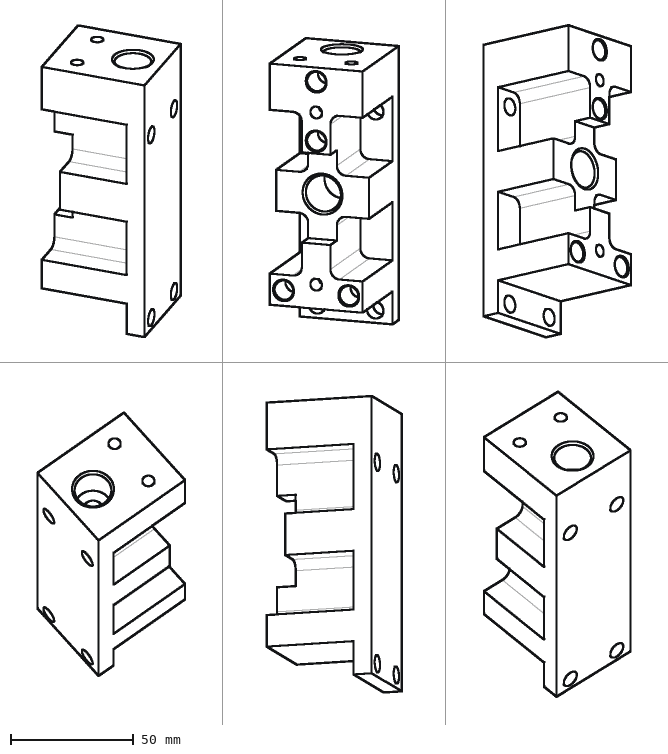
import cadquery as cq
import math

depth_x = 45.0
width_y = 40.0
height_z = 115.0
plate_thickness = 7.8
foot_height = 13.8
front_of_plate = depth_x - plate_thickness

web_width = 12.3
pocket_fillet = 3.9
pocket_spans = [(26.9, 51.3), (68.5, 95.6)]
recess_depth = 7.9
recess_bottom = 41.0
recess_top = 78.9

screw_diameter = 7.0
screw_offset_y = 12.5
screw_heights = [5.4, 88.9]

dowel_diameter = 8.0
dowel_depth = 13.8
dowel_chamfer = 0.5
dowel_spacing_y = 14.0
dowel_places = [(0, 109.0), (0, 84.1), (-dowel_spacing_y, 20.4), (dowel_spacing_y, 20.4)]

tap_diameter = 5.0
tap_depth = 10.4
front_tap_heights = [96.1, 23.9]
top_tap_x = 12.0
top_tap_offset_y = 11.0
drill_half_angle = math.radians(59)

bore_chamfer = 1.0
cross_bore_diameter = 15.1
cross_bore_height = 60.0
cross_bore_floor_x = 32.2
port_diameter = 15.0
port_x = 32.0
port_depth = 15.0
passage_diameter = 8.0
passage_depth = 39.1


def box(x_span, y_span, z_span):
    """Axis-aligned block between the given limits."""
    (x0, x1), (y0, y1), (z0, z1) = x_span, y_span, z_span
    return cq.Workplane("XY").box(x1 - x0, y1 - y0, z1 - z0, centered=False).translate((x0, y0, z0))


def hole(start, direction, diameter, depth, chamfer=0.0, tip_diameter=None):
    """Cutter with an entry chamfer and a drill cone narrowing to tip_diameter; None means a flat floor."""
    radius = diameter / 2
    outline = cq.Workplane("XZ").lineTo(radius + chamfer, 0)
    if chamfer:
        outline = outline.lineTo(radius, chamfer)
    outline = outline.lineTo(radius, depth)
    if tip_diameter is None:
        outline = outline.lineTo(0, depth)
    else:
        tip_radius = tip_diameter / 2
        tip_depth = depth + (radius - tip_radius) / math.tan(drill_half_angle)
        outline = outline.lineTo(tip_radius, tip_depth)
        if tip_radius:
            outline = outline.lineTo(0, tip_depth)
    cutter = outline.close().revolve(360, (0, 0, 0), (0, 1, 0))
    plane = cq.Plane(origin=start, xDir=(0, 1, 0), normal=direction)
    return cq.Workplane(cutter.val().moved(cq.Location(plane)))


half_width = width_y / 2
full_y = (-half_width, half_width)
body = box((0, depth_x), full_y, (0, height_z))
body = body.cut(box((0, front_of_plate), full_y, (0, foot_height)))
body = body.cut(box((0, recess_depth), full_y, (recess_bottom, recess_top)))

for bottom, top in pocket_spans:
    pocket = box((0, front_of_plate), (web_width / 2, half_width), (bottom, top))
    pocket = pocket.edges("|X and <Y").fillet(pocket_fillet)
    body = body.cut(pocket).cut(pocket.mirror("XZ"))

for z in screw_heights:
    for y in (-screw_offset_y, screw_offset_y):
        body = body.cut(hole((front_of_plate, y, z), (1, 0, 0), screw_diameter, plate_thickness))

for y, z in dowel_places:
    body = body.cut(hole((0, y, z), (1, 0, 0), dowel_diameter, dowel_depth, dowel_chamfer))
for z in front_tap_heights:
    body = body.cut(hole((0, 0, z), (1, 0, 0), tap_diameter, tap_depth, tip_diameter=0))

for y in (-top_tap_offset_y, top_tap_offset_y):
    body = body.cut(hole((top_tap_x, y, height_z), (0, 0, -1), tap_diameter, tap_depth, tip_diameter=0))

cross_bore_depth = cross_bore_floor_x - recess_depth
body = body.cut(
    hole((recess_depth, 0, cross_bore_height), (1, 0, 0), cross_bore_diameter, cross_bore_depth, bore_chamfer)
)
top_center = (port_x, 0, height_z)
port = hole(top_center, (0, 0, -1), port_diameter, port_depth, bore_chamfer, passage_diameter)
passage = hole(top_center, (0, 0, -1), passage_diameter, passage_depth, tip_diameter=0)
result = body.cut(port).cut(passage)